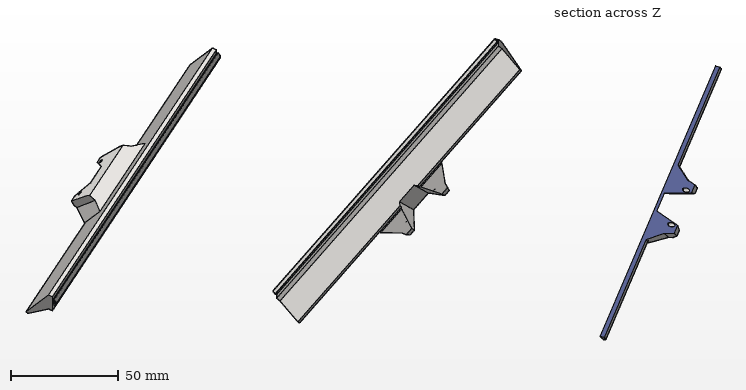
import cadquery as cq
import math

length = 160.0
height = 23.7
plate_back_x = 25.8
plate_edge_x = 23.7
plate_step_z = 12.2
plate_toe = (11.7, 1.8)
plate_heel = (12.8, 1.1)

barb_tip_x = 28.0
barb_head_x = 26.5
barb_centre_z = 19.5
barb_gap = 1.1
barb_stem = 0.6
barb_head = 2.0

bracket_top_z = 16.0
bracket_half_width = 22.0
shoulder_half_width = 17.6
shoulder_reach_top = 5.0
shoulder_reach_bottom = 7.2
flank_taper = 0.36
nose = (0.0, 1.3)
nose_bottom = (1.8, 0.0)
brow = [(9.5, 14.4), (10.9, 15.8), (12.8, bracket_top_z)]

notch_half_top = 5.3
notch_half_bottom = 10.9
notch_top_z = 8.6
notch_depth = 19.2
hole_diameter = 2.0
hole_depth = 4.8
hole_y = 10.2
hole_z = 4.5

flank_slope = (bracket_half_width - shoulder_half_width) / shoulder_reach_top
flank_length = 9.6

tilt = math.atan2(brow[0][1] - nose[1], brow[0][0] - nose[0])
front_plane = cq.Plane(
    origin=(nose[0], 0, nose[1]),
    xDir=(0, -1, 0),
    normal=(-math.sin(tilt), 0, math.cos(tilt)),
)


def prism(points, half_width):
    """Extrude an XZ outline symmetrically along Y."""
    return cq.Workplane("XZ").polyline(points).close().extrude(half_width, both=True)


def plate_face_x(z):
    """X of the sloping front face of the plate at height z."""
    slope = (plate_edge_x - plate_toe[0]) / (height - plate_toe[1])
    return plate_toe[0] + slope * (z - plate_toe[1])


def make_plate():
    outline = [
        plate_toe,
        plate_heel,
        (plate_edge_x, plate_step_z),
        (plate_back_x, plate_step_z),
        (plate_back_x, height),
        (plate_edge_x, height),
    ]
    return prism(outline, length / 2)


def make_barb(side):
    """One barbed strip; side is +1 for the upper and -1 for the lower."""
    flat = barb_centre_z + side * barb_gap / 2
    outline = [
        (plate_back_x, flat),
        (barb_tip_x, flat),
        (barb_head_x, flat + side * barb_head),
        (barb_head_x, flat + side * barb_stem),
        (plate_back_x, flat + side * barb_stem),
    ]
    return prism(outline, length / 2)


def bracket_section(z, reach):
    """Plan outline of the bracket flanks at height z."""
    root_x = plate_face_x(z)
    shoulder_half = bracket_half_width - reach * flank_slope
    shoulder_x = root_x - reach
    tip_x = shoulder_x - flank_length
    tip_half = shoulder_half - flank_taper * flank_length
    half = [(root_x, bracket_half_width), (shoulder_x, shoulder_half), (tip_x, tip_half)]
    mirrored = [(x, -y) for x, y in reversed(half)]
    return [cq.Vector(x, y, z) for x, y in half + mirrored]


def make_bracket():
    bottom = cq.Wire.makePolygon(bracket_section(0, shoulder_reach_bottom), close=True)
    top = cq.Wire.makePolygon(bracket_section(bracket_top_z, shoulder_reach_top), close=True)
    flanks = cq.Workplane(cq.Solid.makeLoft([bottom, top], True))
    root_top = (plate_face_x(bracket_top_z), bracket_top_z)
    profile = prism([nose, *brow, root_top, plate_toe, plate_heel, nose_bottom], bracket_half_width)
    return flanks.intersect(profile)


def up_front(z):
    """Distance along the bracket front face from the nose to height z."""
    return (z - nose[1]) / math.sin(tilt)


def make_notch():
    rise = up_front(notch_top_z)
    widening = (notch_half_bottom - notch_half_top) / rise
    overshoot = 9.6
    foot_half = notch_half_bottom + widening * overshoot
    outline = [
        (-foot_half, -overshoot),
        (-notch_half_top, rise),
        (notch_half_top, rise),
        (foot_half, -overshoot),
    ]
    return cq.Workplane(front_plane).polyline(outline).close().extrude(notch_depth, both=True)


def make_holes():
    rise = up_front(hole_z)
    centres = [(-hole_y, rise), (hole_y, rise)]
    return cq.Workplane(front_plane).pushPoints(centres).circle(hole_diameter / 2).extrude(-hole_depth)


result = make_plate().union(make_bracket())
for side in (1, -1):
    result = result.union(make_barb(side))
result = result.cut(make_notch()).cut(make_holes())